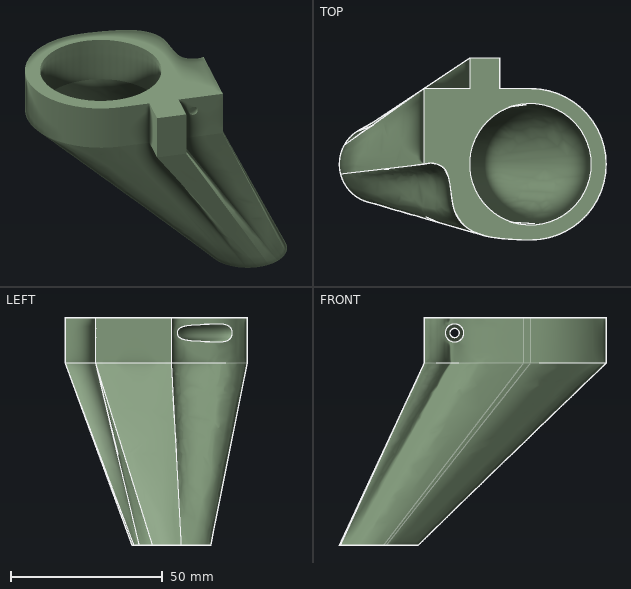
import cadquery as cq
import math

collar_height = 15.0
collar_radius = 25.0
bore_diameter = 40.0
block_left = -35.0
tab_left = -20.0
tab_width = 9.9
tab_end = 35.0

flank_points = [
    (-30.6, 0),
    (-28.25, -1.6),
    (-27.0, -4.2),
    (-24.9, -15.7),
    (-22.7, -19.3),
    (-19.0, -22.1),
    (-9.3, -24.55),
]
flank_end = -2.3

spout_height = 60.0
mouth_offset = -50.0
mouth_radius = 13.0
mouth_bore_diameter = 20.0
mouth_start_angle = -79

screw_x = -25.0
screw_z = -5.0
screw_diameter = 3.0
head_diameter = 6.0
head_seat_y = 0

collar_bottom = -collar_height
mouth_z = collar_bottom - spout_height


def at_height(points, z):
    return [cq.Vector(x, y, z) for x, y in points]


def collar_edges(z):
    """Edges of the collar's plan shape, counterclockwise from its front tangent point."""
    radius = collar_radius
    tab_right = tab_left + tab_width
    arc_points = at_height([(0, -radius), (radius, 0), (0, radius)], z)
    corners = at_height(
        [
            (0, radius),
            (tab_right, radius),
            (tab_right, tab_end),
            (tab_left, tab_end),
            (tab_left, radius),
            (block_left, radius),
            (block_left, 0),
        ],
        z,
    )
    flank = at_height([(block_left, 0)] + flank_points + [(flank_end, -radius)], z)
    front = at_height([(flank_end, -radius), (0, -radius)], z)
    edges = [cq.Edge.makeThreePointArc(*arc_points)]
    for start, end in zip(corners, corners[1:]):
        edges.append(cq.Edge.makeLine(start, end))
    edges.append(cq.Edge.makeSpline(flank))
    edges.append(cq.Edge.makeLine(*front))
    return edges


def mouth_point(angle):
    x = mouth_offset + mouth_radius * math.cos(angle)
    y = mouth_radius * math.sin(angle)
    return cq.Vector(x, y, mouth_z)


def mouth_wire(top_edges):
    """Mouth circle, split into arcs in proportion to the lengths of the collar's edges."""
    perimeter = sum(edge.Length() for edge in top_edges)
    start = math.radians(mouth_start_angle)
    arcs = []
    for edge in top_edges:
        end = start + 2 * math.pi * edge.Length() / perimeter
        middle = (start + end) / 2
        arcs.append(cq.Edge.makeThreePointArc(mouth_point(start), mouth_point(middle), mouth_point(end)))
        start = end
    return cq.Wire.assembleEdges(arcs)


def make_body():
    edges = collar_edges(collar_bottom)
    outline = cq.Wire.assembleEdges(edges)
    collar = cq.Solid.extrudeLinear(outline, [], cq.Vector(0, 0, collar_height))
    spout = cq.Solid.makeLoft([outline, mouth_wire(edges)], True)
    return cq.Workplane(collar).union(cq.Workplane(spout))


def make_passage():
    """Straight bore through the collar, then a slanted taper to the mouth."""
    bore = cq.Workplane("XY").circle(bore_diameter / 2).extrude(-collar_height)
    taper = (
        cq.Workplane("XY", origin=(0, 0, collar_bottom))
        .circle(bore_diameter / 2)
        .workplane(offset=-spout_height)
        .center(mouth_offset, 0)
        .circle(mouth_bore_diameter / 2)
        .loft(ruled=True)
    )
    return bore.union(taper)


def cylinder_along_y(diameter, start_y, end_y):
    plane = cq.Workplane("XZ", origin=(screw_x, start_y, screw_z))
    return plane.circle(diameter / 2).extrude(start_y - end_y)


def make_screw_hole():
    shank = cylinder_along_y(screw_diameter, -collar_radius, collar_radius)
    head = cylinder_along_y(head_diameter, -collar_radius, head_seat_y)
    return shank.union(head)


result = make_body().cut(make_passage()).cut(make_screw_hole())